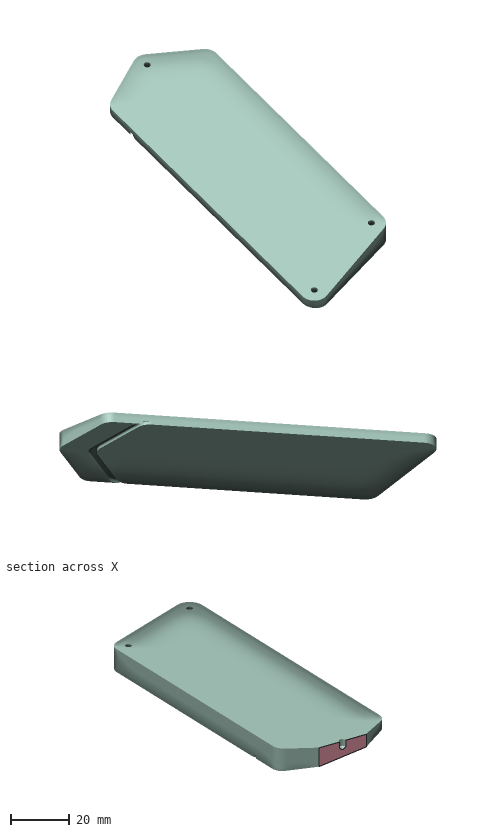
import cadquery as cq
import math

LENGTH = 128.1
WIDTH = 44.43
BACK_THICKNESS = 8.7
FRONT_THICKNESS = 3.5

CORNER_RADIUS = 5.0
NOSE_HALF_ANGLE = 60.0
TAIL_LEAN = 20.9

HOLE_DIAMETER = 2.4
HOLE_DEPTH = 2.5
DRILL_POINT_ANGLE = 118.0

GROOVE_OUTER_OFFSET = 10.0
GROOVE_INNER_OFFSET = 13.0
GROOVE_DEPTH = 1.2

HALF_SPAN = WIDTH / 2 - CORNER_RADIUS
NOSE_X = -LENGTH / 2 + CORNER_RADIUS
SHOULDER_X = NOSE_X + HALF_SPAN / math.tan(math.radians(NOSE_HALF_ANGLE))
TAIL_FRONT_X = LENGTH / 2 - CORNER_RADIUS
TAIL_BACK_X = TAIL_FRONT_X - 2 * HALF_SPAN * math.tan(math.radians(TAIL_LEAN))

CORNER_CENTRES = [
    (NOSE_X, 0),
    (SHOULDER_X, -HALF_SPAN),
    (TAIL_FRONT_X, -HALF_SPAN),
    (TAIL_BACK_X, HALF_SPAN),
    (SHOULDER_X, HALF_SPAN),
]
HOLE_CENTRES = [
    (NOSE_X, 0),
    (TAIL_FRONT_X, -HALF_SPAN),
    (TAIL_BACK_X, HALF_SPAN),
]


def outline_prism():
    """Full-depth prism of the rounded outline, with its top face at Z = 0."""
    core = cq.Workplane("XY").polyline(CORNER_CENTRES).close()
    return core.offset2D(CORNER_RADIUS, "arc").extrude(-BACK_THICKNESS)


def underside_wedge(lift):
    """Everything below the sloping underside, raised by the given height."""
    return (
        cq.Workplane("YZ")
        .polyline([
            (-WIDTH / 2, -FRONT_THICKNESS + lift),
            (WIDTH / 2, -BACK_THICKNESS + lift),
            (WIDTH / 2, -2 * BACK_THICKNESS),
            (-WIDTH / 2, -2 * BACK_THICKNESS),
        ])
        .close()
        .extrude(LENGTH, both=True)
    )


def groove_cutter():
    """V-shaped band between two shifted nose outlines, up to the groove roof."""
    near_wall = outline_prism().translate((GROOVE_OUTER_OFFSET, 0, 0))
    far_wall = outline_prism().translate((GROOVE_INNER_OFFSET, 0, 0))
    nose_half = (
        cq.Workplane("XY")
        .box(LENGTH / 2, WIDTH, BACK_THICKNESS, centered=(False, True, False))
        .translate((-LENGTH / 2, 0, -BACK_THICKNESS))
    )
    band = near_wall.cut(far_wall).intersect(nose_half)
    return band.intersect(underside_wedge(GROOVE_DEPTH))


def hole_cutter(centre):
    """Blind hole from the top face, ending in a drill-point cone."""
    radius = HOLE_DIAMETER / 2
    point_height = radius / math.tan(math.radians(DRILL_POINT_ANGLE / 2))
    profile = [
        (0, 0),
        (radius, 0),
        (radius, -HOLE_DEPTH),
        (0, -HOLE_DEPTH - point_height),
    ]
    hole = cq.Workplane("XZ").polyline(profile).close().revolve(360, (0, 0), (0, 1))
    return hole.translate((*centre, 0))


result = outline_prism().cut(underside_wedge(0)).cut(groove_cutter())
for hole_centre in HOLE_CENTRES:
    result = result.cut(hole_cutter(hole_centre))